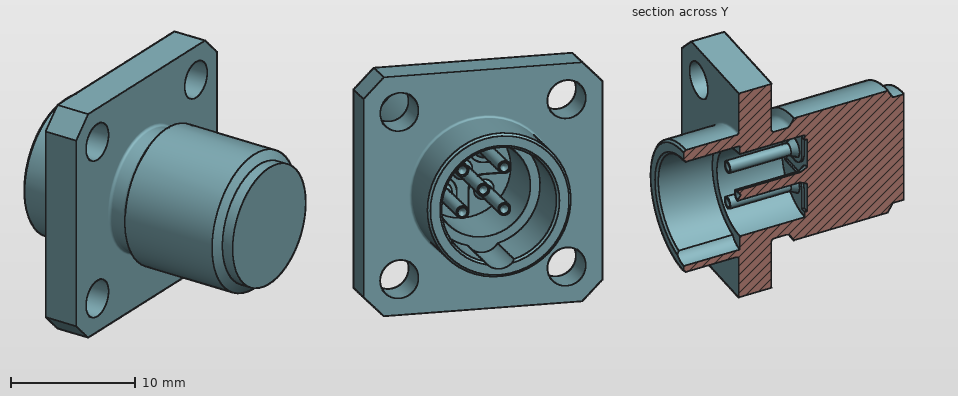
import cadquery as cq
import math


flange_size = 20.0
flange_thickness = 3.0
flange_corner_chamfer = 1.7
screw_hole_diameter = 3.2
screw_hole_offset = 7.0

total_length = 20.0
sleeve_diameter = 12.0
sleeve_length = 5.0
sleeve_chamfer = 0.2
sleeve_root_fillet = 0.2
neck_diameter = 10.5
neck_length = 2.0
neck_root_fillet = 0.25
neck_cone_fillet = 0.4
cone_angle = math.radians(30)
rear_ring_diameter = 10.4
rear_ring_length = 1.0

bore_diameter = 9.6
bore_depth = 5.1
bore_chamfer = 0.2
insert_diameter = 8.0
insert_floor = 11.0
keyway_diameter = 3.0
keyway_offset = 3.8

cross_length = 7.0
cross_width = 1.0
cross_depth = 0.2
pin_diameter = 1.05
pin_base_diameter = 1.68
pin_base_height = 0.6
pin_tip = 4.9
pin_dish_diameter = 0.78
pin_dish_depth = 0.3
pin_offset = 1.75

flange_rear = sleeve_length + flange_thickness
sleeve_radius = sleeve_diameter / 2


def axial_plane(x):
    """Plane square to the axis at the given X; its local axes are Y and Z."""
    return cq.Workplane("YZ", origin=(x, 0, 0))


def turned_body():
    """Revolve the outer profile: sleeve, neck, barrel and rear ring."""
    neck_radius = neck_diameter / 2
    ring_radius = rear_ring_diameter / 2
    barrel_start = flange_rear + neck_length
    cone_foot = barrel_start - (sleeve_radius - neck_radius) * math.tan(cone_angle)
    ring_start = total_length - rear_ring_length
    barrel_end = ring_start - (sleeve_radius - ring_radius) * math.tan(cone_angle)

    turn = math.pi / 2 - cone_angle
    tangent_length = neck_cone_fillet * math.tan(turn / 2)
    fillet_start = cone_foot - tangent_length
    fillet_end = (
        cone_foot + tangent_length * math.cos(turn),
        neck_radius + tangent_length * math.sin(turn),
    )
    profile = (
        cq.Workplane("XY")
        .moveTo(0, 0)
        .lineTo(0, sleeve_radius - sleeve_chamfer)
        .lineTo(sleeve_chamfer, sleeve_radius)
        .lineTo(sleeve_length - sleeve_root_fillet, sleeve_radius)
        .tangentArcPoint((sleeve_root_fillet, sleeve_root_fillet))
        .lineTo(flange_rear, sleeve_radius + sleeve_root_fillet)
        .lineTo(flange_rear, neck_radius + neck_root_fillet)
        .tangentArcPoint((neck_root_fillet, -neck_root_fillet))
        .lineTo(fillet_start, neck_radius)
        .tangentArcPoint(fillet_end, relative=False)
        .lineTo(barrel_start, sleeve_radius)
        .lineTo(barrel_end, sleeve_radius)
        .lineTo(ring_start, ring_radius)
        .lineTo(total_length, ring_radius)
        .lineTo(total_length, 0)
        .close()
    )
    return profile.revolve(360, (0, 0, 0), (1, 0, 0))


def flange():
    """Square plate with chamfered corners and four screw holes."""
    plate = (
        axial_plane(sleeve_length)
        .rect(flange_size, flange_size)
        .extrude(flange_thickness)
        .edges("|X")
        .chamfer(flange_corner_chamfer)
    )
    holes = (
        axial_plane(sleeve_length)
        .rect(2 * screw_hole_offset, 2 * screw_hole_offset, forConstruction=True)
        .vertices()
        .circle(screw_hole_diameter / 2)
        .extrude(flange_thickness)
    )
    return plate.cut(holes)


def stepped_bore():
    """Volume removed from the open end: chamfered bore, narrower insert bore and keyway."""
    bore_radius = bore_diameter / 2
    insert_radius = insert_diameter / 2
    bore = (
        cq.Workplane("XY")
        .moveTo(0, 0)
        .lineTo(0, bore_radius + bore_chamfer)
        .lineTo(bore_chamfer, bore_radius)
        .lineTo(bore_depth, bore_radius)
        .lineTo(bore_depth, insert_radius)
        .lineTo(insert_floor, insert_radius)
        .lineTo(insert_floor, 0)
        .close()
        .revolve(360, (0, 0, 0), (1, 0, 0))
    )
    keyway = (
        axial_plane(0)
        .center(0, -keyway_offset)
        .circle(keyway_diameter / 2)
        .extrude(bore_depth)
    )
    return bore.union(keyway)


def cross_recess():
    """Cross sunk into the insert floor, its inner corners rounded about the outer pins."""
    arms = (
        axial_plane(insert_floor)
        .rect(cross_length, cross_width)
        .extrude(cross_depth)
        .union(axial_plane(insert_floor).rect(cross_width, cross_length).extrude(cross_depth))
    )
    inner_corners = cq.selectors.BoxSelector(
        (insert_floor, -cross_width, -cross_width),
        (insert_floor + cross_depth, cross_width, cross_width),
    )
    return arms.edges("|X").edges(inner_corners).fillet(pin_offset - cross_width / 2)


def contact_pin(y, z, base):
    """Pin with a dished tip, standing on a conical foot on the insert at X = base."""
    profile = (
        cq.Workplane("XY")
        .moveTo(pin_tip + pin_dish_depth, 0)
        .lineTo(pin_tip, pin_dish_diameter / 2)
        .lineTo(pin_tip, pin_diameter / 2)
        .lineTo(base - pin_base_height, pin_diameter / 2)
        .lineTo(base, pin_base_diameter / 2)
        .lineTo(base, 0)
        .close()
    )
    return profile.revolve(360, (0, 0, 0), (1, 0, 0)).translate((0, y, z))


result = turned_body().union(flange()).cut(stepped_bore()).cut(cross_recess())

result = result.union(contact_pin(0, 0, insert_floor + cross_depth))
for y in (-pin_offset, pin_offset):
    for z in (-pin_offset, pin_offset):
        result = result.union(contact_pin(y, z, insert_floor))